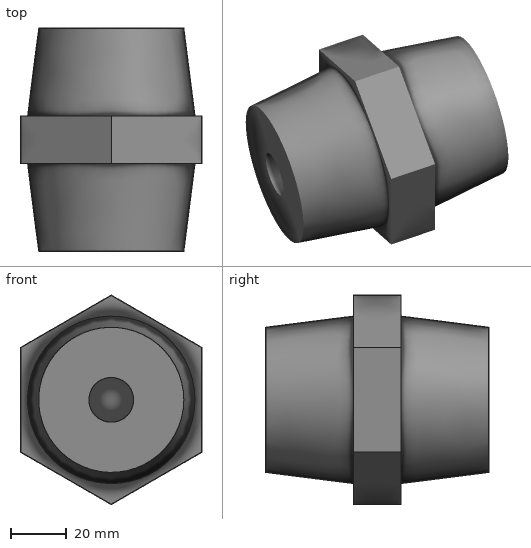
import cadquery as cq
import math

length = 80.0
hex_across_flats = 65.0
hex_thickness = 17.1
end_diameter = 52.0
root_diameter = 60.0
hole_diameter = 16.0
hole_depth = 24.0

half_length = length / 2
hex_across_corners = hex_across_flats / math.cos(math.pi / 6)


def tapered_body():
    """Revolve a double cone that is widest along the hexagon band."""
    profile = (
        cq.Workplane("XY")
        .moveTo(0, -half_length)
        .lineTo(end_diameter / 2, -half_length)
        .lineTo(root_diameter / 2, -hex_thickness / 2)
        .lineTo(root_diameter / 2, hex_thickness / 2)
        .lineTo(end_diameter / 2, half_length)
        .lineTo(0, half_length)
        .close()
    )
    return profile.revolve(360, (0, 0, 0), (0, 1, 0))


def hexagon_band():
    """Central hexagon with corners pointing up and down along Z."""
    return (
        cq.Workplane("XZ")
        .transformed(rotate=(0, 0, 90))
        .polygon(6, hex_across_corners)
        .extrude(hex_thickness / 2, both=True)
    )


def end_hole(end):
    """Blind hole entering from the -Y end (end = -1) or the +Y end (end = 1)."""
    return cq.Workplane(
        cq.Solid.makeCylinder(
            hole_diameter / 2,
            hole_depth,
            cq.Vector(0, end * half_length, 0),
            cq.Vector(0, -end, 0),
        )
    )


result = tapered_body().union(hexagon_band())
for end in (-1, 1):
    result = result.cut(end_hole(end))